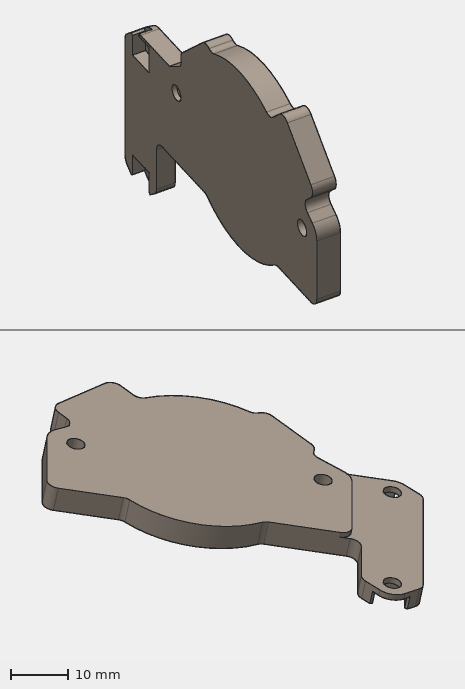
import cadquery as cq
import math


BODY_THICKNESS = 4.8
DISC_RADIUS = 19.55
BODY_HALF_WIDTH = 27.1
BODY_BOTTOM_RIGHT = -14.7
BODY_BOTTOM_LEFT = -15.7
SHOULDER_SLOPE = 34.0
SHOULDER_START_Z = 2.2
SHOULDER_TOP_X = 10.0
SHOULDER_APEX_Z = SHOULDER_START_Z + BODY_HALF_WIDTH * math.tan(math.radians(SHOULDER_SLOPE))
SHOULDER_RADIUS = 3.5
BOTTOM_CORNER_RADIUS = 2.0
BODY_HOLE_X = 21.95
BODY_HOLE_Z = -0.25
BODY_HOLE_DIAMETER = 3.2
LEFT_HOLE_FRONT_DIAMETER = 3.1
LEFT_HOLE_FRONT_DEPTH = 1.0

RIGHT_TAB = {"angle": 45.0, "reach": 25.8, "low": -11.6, "high": 4.0}
LEFT_TAB = {"angle": 135.0, "reach": 21.25, "low": -5.0, "high": 8.8}
TAB_CORNER_RADIUS = 2.0
INNER_RADIUS = 1.8

ARM_THICKNESS = 3.8
OVERALL_LENGTH = 67.03
ARM_LEFT = BODY_HALF_WIDTH - OVERALL_LENGTH
ARM_WIDTH = 11.0
ARM_HOLE_X = ARM_LEFT + ARM_WIDTH / 2
ARM_HOLE_DIAMETER = 3.2
ARM_UPPER_HOLE_Z = 0.53
ARM_HOLE_SPACING = 28.0
ARM_LOWER_HOLE_Z = ARM_UPPER_HOLE_Z - ARM_HOLE_SPACING
ARM_END_RADIUS = 3.5
ARM_CORNER_RADIUS = 2.0
ARM_INNER_RADIUS = 2.0

POCKET_SIZE = 5.7
POCKET_DEPTH = 2.6

SIDE_RIM_INNER = (POCKET_SIZE / 2, 1.55)
SIDE_RIM_OUTER = (3.35, 1.8)
UPPER_RIM_INNER = (-0.85, POCKET_SIZE / 2)
UPPER_RIM_OUTER = (-0.55, ARM_END_RADIUS)

def prism(outline, thickness):
    """Extrude a closed XZ outline from the front face towards +Y."""
    return outline.extrude(-thickness)


def polygon(points, thickness):
    return prism(cq.Workplane("XZ").polyline(points).close(), thickness)


def cylinder(x, z, diameter, depth):
    return prism(cq.Workplane("XZ").center(x, z).circle(diameter / 2), depth)


def upright_edge(x, z):
    """Select the edge along Y that is nearest to the point (x, z)."""
    return cq.selectors.NearestToPointSelector((x, BODY_THICKNESS / 2, z))


def on_disc(z, side):
    """Point of the disc rim at height z, on the side given by the sign."""
    return side * math.sqrt(DISC_RADIUS ** 2 - z ** 2), z


def tab(angle, reach, low, high):
    """Rectangular tab pointing along +X with rounded outer corners, then turned to its angle."""
    outline = cq.Workplane("XZ").center(reach / 2, (low + high) / 2).rect(reach, high - low)
    block = prism(outline, BODY_THICKNESS).edges("|Y and >X").fillet(TAB_CORNER_RADIUS)
    return block.rotate((0, 0, 0), (0, 1, 0), -angle)


def tab_side_on_disc(angle, offset):
    """Point where a tab side, at an offset from its radial line, leaves the disc."""
    direction = math.radians(angle) + math.asin(offset / DISC_RADIUS)
    return DISC_RADIUS * math.cos(direction), DISC_RADIUS * math.sin(direction)


def shoulder_crossing(angle, offset, side):
    """Point where a tab side crosses the sloped top edge of the body."""
    turn = math.radians(angle)
    slope = math.tan(math.radians(SHOULDER_SLOPE))
    x = (SHOULDER_APEX_Z * math.cos(turn) - offset) / (math.sin(turn) + side * slope * math.cos(turn))
    return x, SHOULDER_APEX_Z - side * slope * x


def make_body():
    shoulder_top_z = SHOULDER_APEX_Z - SHOULDER_TOP_X * math.tan(math.radians(SHOULDER_SLOPE))
    plate = polygon(
        [
            (-BODY_HALF_WIDTH, BODY_BOTTOM_LEFT),
            (0, BODY_BOTTOM_LEFT),
            (0, BODY_BOTTOM_RIGHT),
            (BODY_HALF_WIDTH, BODY_BOTTOM_RIGHT),
            (BODY_HALF_WIDTH, SHOULDER_START_Z),
            (SHOULDER_TOP_X, shoulder_top_z),
            (-SHOULDER_TOP_X, shoulder_top_z),
            (-BODY_HALF_WIDTH, SHOULDER_START_Z),
        ],
        BODY_THICKNESS,
    )
    for side in (-1, 1):
        plate = plate.edges(upright_edge(side * BODY_HALF_WIDTH, SHOULDER_START_Z)).fillet(SHOULDER_RADIUS)
    plate = plate.edges(upright_edge(-BODY_HALF_WIDTH, BODY_BOTTOM_LEFT)).fillet(BOTTOM_CORNER_RADIUS)
    plate = plate.edges(upright_edge(BODY_HALF_WIDTH, BODY_BOTTOM_RIGHT)).fillet(BOTTOM_CORNER_RADIUS)

    disc = cylinder(0, 0, 2 * DISC_RADIUS, BODY_THICKNESS)
    body = plate.union(disc).union(tab(**RIGHT_TAB)).union(tab(**LEFT_TAB))

    inner_corners = [
        tab_side_on_disc(RIGHT_TAB["angle"], RIGHT_TAB["high"]),
        tab_side_on_disc(LEFT_TAB["angle"], LEFT_TAB["low"]),
        shoulder_crossing(RIGHT_TAB["angle"], RIGHT_TAB["low"], 1),
        shoulder_crossing(LEFT_TAB["angle"], LEFT_TAB["high"], -1),
        on_disc(BODY_BOTTOM_RIGHT, 1),
        on_disc(BODY_BOTTOM_LEFT, -1),
    ]
    for x, z in inner_corners:
        body = body.edges("|Y").edges(upright_edge(x, z)).fillet(INNER_RADIUS)
    return body


def make_arm():
    """L-shaped arm; its ends are tangent to arcs centred on the holes."""
    half_width = ARM_WIDTH / 2
    slope = math.asin(ARM_END_RADIUS / half_width)
    tangent_x = ARM_END_RADIUS * math.sin(slope)
    tangent_z = ARM_END_RADIUS * math.cos(slope)
    mid_x = ARM_END_RADIUS * math.sin(slope / 2)
    mid_z = ARM_END_RADIUS * math.cos(slope / 2)
    right = ARM_LEFT + ARM_WIDTH
    body_bottom_x = on_disc(BODY_BOTTOM_LEFT, -1)[0]
    top_z = ARM_UPPER_HOLE_Z + ARM_END_RADIUS
    top_end_x = -(SHOULDER_APEX_Z - top_z) / math.tan(math.radians(SHOULDER_SLOPE))
    outline = (
        cq.Workplane("XZ")
        .moveTo(ARM_LEFT, ARM_UPPER_HOLE_Z)
        .lineTo(ARM_HOLE_X - tangent_x, ARM_UPPER_HOLE_Z + tangent_z)
        .threePointArc((ARM_HOLE_X - mid_x, ARM_UPPER_HOLE_Z + mid_z), (ARM_HOLE_X, top_z))
        .lineTo(top_end_x, top_z)
        .lineTo(body_bottom_x, BODY_BOTTOM_LEFT)
        .lineTo(right, BODY_BOTTOM_LEFT)
        .lineTo(right, ARM_LOWER_HOLE_Z)
        .lineTo(ARM_HOLE_X + tangent_x, ARM_LOWER_HOLE_Z - tangent_z)
        .threePointArc(
            (ARM_HOLE_X, ARM_LOWER_HOLE_Z - ARM_END_RADIUS),
            (ARM_HOLE_X - tangent_x, ARM_LOWER_HOLE_Z - tangent_z),
        )
        .lineTo(ARM_LEFT, ARM_LOWER_HOLE_Z)
        .close()
    )
    arm = prism(outline, ARM_THICKNESS)
    outer_corners = [
        (ARM_LEFT, ARM_UPPER_HOLE_Z),
        (ARM_LEFT, ARM_LOWER_HOLE_Z),
        (right, ARM_LOWER_HOLE_Z),
    ]
    for x, z in outer_corners:
        arm = arm.edges("|Y").edges(upright_edge(x, z)).fillet(ARM_CORNER_RADIUS)
    return arm.edges("|Y").edges(upright_edge(right, BODY_BOTTOM_LEFT)).fillet(ARM_INNER_RADIUS)


def make_pockets():
    """Square pockets from the front face, broken out through the sloped arm ends."""
    half = POCKET_SIZE / 2
    upper = [
        (-half, -half),
        (half, -half),
        (half, half),
        UPPER_RIM_INNER,
        UPPER_RIM_OUTER,
        (UPPER_RIM_OUTER[0], ARM_WIDTH),
        (-SIDE_RIM_OUTER[0], ARM_WIDTH),
        (-SIDE_RIM_OUTER[0], SIDE_RIM_OUTER[1]),
        (-SIDE_RIM_INNER[0], SIDE_RIM_INNER[1]),
    ]
    lower = [
        (-half, half),
        (-SIDE_RIM_INNER[0], -SIDE_RIM_INNER[1]),
        (-SIDE_RIM_OUTER[0], -SIDE_RIM_OUTER[1]),
        (-SIDE_RIM_OUTER[0], -ARM_WIDTH),
        (SIDE_RIM_OUTER[0], -ARM_WIDTH),
        (SIDE_RIM_OUTER[0], -SIDE_RIM_OUTER[1]),
        (SIDE_RIM_INNER[0], -SIDE_RIM_INNER[1]),
        (half, half),
    ]
    upper_pocket = polygon(upper, POCKET_DEPTH).translate((ARM_HOLE_X, 0, ARM_UPPER_HOLE_Z))
    lower_pocket = polygon(lower, POCKET_DEPTH).translate((ARM_HOLE_X, 0, ARM_LOWER_HOLE_Z))
    return upper_pocket.union(lower_pocket)


def drill_holes(part):
    for arm_hole_z in (ARM_UPPER_HOLE_Z, ARM_LOWER_HOLE_Z):
        part = part.cut(cylinder(ARM_HOLE_X, arm_hole_z, ARM_HOLE_DIAMETER, ARM_THICKNESS))
    part = part.cut(cylinder(BODY_HOLE_X, BODY_HOLE_Z, BODY_HOLE_DIAMETER, BODY_THICKNESS))
    front = cylinder(-BODY_HOLE_X, BODY_HOLE_Z, LEFT_HOLE_FRONT_DIAMETER, LEFT_HOLE_FRONT_DEPTH)
    back_depth = BODY_THICKNESS - LEFT_HOLE_FRONT_DEPTH
    back = cylinder(-BODY_HOLE_X, BODY_HOLE_Z, BODY_HOLE_DIAMETER, back_depth)
    return part.cut(front).cut(back.translate((0, LEFT_HOLE_FRONT_DEPTH, 0)))


result = drill_holes(make_body().union(make_arm()).cut(make_pockets()))